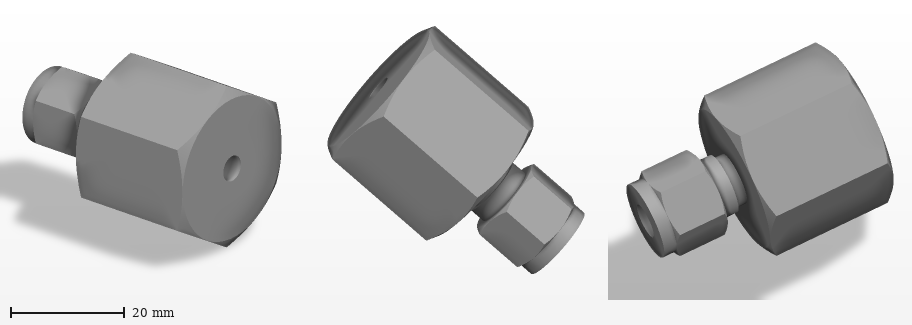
import cadquery as cq
import math

overall_length = 42.4
nut_start = 2.45
nut_end = 12.7
collar_end = 15.65
body_start = 17.73

nut_across_flats = 14.3
nut_rim_diameter = 14.25
body_across_flats = 26.97
body_rim_diameter = 26.85
collar_diameter = 11.15
neck_diameter = 9.63
tube_socket_diameter = 6.35
bore_diameter = 4.8

tube_socket_depth = nut_end

chamfer_angle = math.radians(30)

envelope_clearance = 0.42


def cylinder(diameter, start, end):
    """Round bar along X between two positions."""
    return cq.Workplane("YZ", origin=(start, 0, 0)).circle(diameter / 2).extrude(end - start)


def chamfered_hexagon(across_flats, rim_diameter, start, end):
    """Hexagonal bar along X with corners up and down and both ends turned to a cone."""
    across_corners = across_flats / math.cos(math.pi / 6)
    hexagon = (
        cq.Workplane("YZ", origin=(start, 0, 0))
        .transformed(rotate=(0, 0, 90))
        .polygon(6, across_corners)
        .extrude(end - start)
    )

    rim_radius = rim_diameter / 2
    envelope_radius = across_corners / 2 + envelope_clearance
    cone_length = (envelope_radius - rim_radius) * math.tan(chamfer_angle)
    envelope = (
        cq.Workplane("XY")
        .moveTo(start, 0)
        .lineTo(start, rim_radius)
        .lineTo(start + cone_length, envelope_radius)
        .lineTo(end - cone_length, envelope_radius)
        .lineTo(end, rim_radius)
        .lineTo(end, 0)
        .close()
        .revolve(360, (0, 0, 0), (1, 0, 0))
    )
    return hexagon.intersect(envelope)


nut_rim = cylinder(nut_rim_diameter, 0, nut_start)
nut = chamfered_hexagon(nut_across_flats, nut_rim_diameter, nut_start, nut_end)
collar = cylinder(collar_diameter, nut_end, collar_end)
neck = cylinder(neck_diameter, collar_end, body_start)
body = chamfered_hexagon(body_across_flats, body_rim_diameter, body_start, overall_length)
fitting = nut_rim.union(nut).union(collar).union(neck).union(body)

tube_socket = cylinder(tube_socket_diameter, 0, tube_socket_depth)
bore = cylinder(bore_diameter, 0, overall_length)

result = fitting.cut(tube_socket).cut(bore)